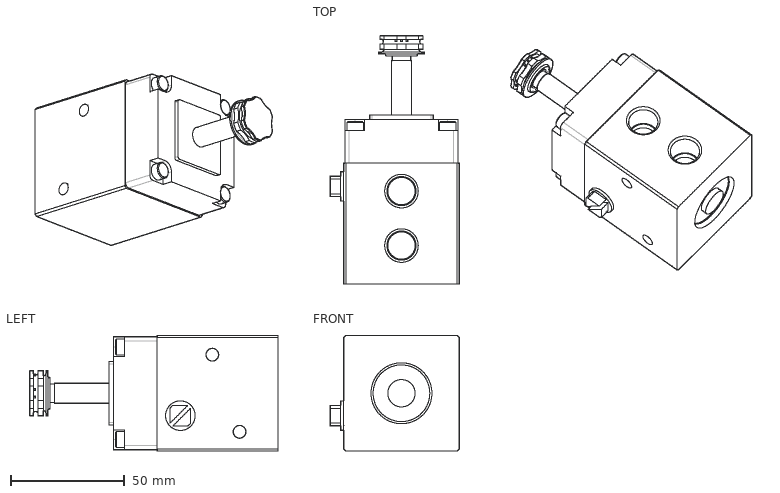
import cadquery as cq
import math


BLOCK_SIZE = 51.0
BLOCK_LENGTH = 53.2
BLOCK_CHAMFER = 1.0
PORT_PITCH = 24.0
PORT_Y = 17.0
PORT_DIAMETER = 12.8
PORT_MOUTH_DIAMETER = 14.8
PORT_DEPTH = 12.0
PORT_DRILL_DIAMETER = 12.0
PORT_DRILL_DEPTH = 15.0
DRILL_TIP_ANGLE = 118.0
MOUNT_HOLE_DIAMETER = 5.5
MOUNT_HOLE_Z = 17.0
MOUNT_HOLE_PITCH_Y = PORT_PITCH / 2
RECESS_DIAMETER = 25.0
RECESS_MOUTH_DIAMETER = 26.8
RECESS_DEPTH = 2.5
RECESS_CONE_DEPTH = 2.0
RECESS_BOSS_DIAMETER = 12.0

OVERRIDE_Y = 43.0
OVERRIDE_Z = -9.9
OVERRIDE_DISC_DIAMETER = 13.0
OVERRIDE_DISC_HEIGHT = 1.3
OVERRIDE_HEIGHT = 5.9
OVERRIDE_SQUARE = 9.0
OVERRIDE_CORNER_DIAMETER = 11.2
OVERRIDE_SLOT_WIDTH = 1.8

COVER_SIZE = 50.0
COVER_LENGTH = 19.3
COVER_FILLET = 2.0
PLATE_SIZE = 28.0
PLATE_THICKNESS = 2.0
PLATE_FILLET = 1.1
SCREW_OFFSET = 20.4
SCREW_HEAD_DIAMETER = 7.2
SCREW_HEAD_HEIGHT = 3.9
SCREW_HEAD_CHAMFER = 0.4
SEAT_DIAMETER = 8.3
SEAT_DEPTH = 4.9
TUBE_DIAMETER = 9.0
TUBE_END_Y = 98.5
NECK_DIAMETER = 8.3
NECK_END_Y = 101.0
STEM_DIAMETER = 9.7

NUT_END_Y = 109.5
NUT_DIAMETER = 20.2
FLANGE_THICKNESS = 1.8
FLANGE_CHAMFER = 0.3
GROOVE_WIDTH = 2.0
GROOVE_DIAMETER = 16.2
GROOVE_SAG = 0.4
GRIP_WIDTH = 2.4
SHOULDER_LENGTH = 1.2
SHOULDER_DIAMETER = 15.6
DISC_THICKNESS = 0.8
LIP_HEIGHT = 1.0
LIP_ROOT_DIAMETER = 14.5
LIP_END_DIAMETER = 13.8
NUT_RECESS_DIAMETER = 13.4
NUT_RECESS_DEPTH = 4.4
SCALLOP_COUNT = 6
SCALLOP_HALF_WIDTH = 3.3
SCALLOP_DEPTH = 0.5
MARK_DIAMETER = 1.0
MARK_LENGTH = 1.0
MARK_RADIUS = 7.9
TOP_MARK_COUNT = 3
TOP_MARK_PITCH = 2.3
SIDE_MARK_COUNT = 2
SIDE_MARK_PITCH = 3.3

COVER_END_Y = BLOCK_LENGTH + COVER_LENGTH
PLATE_END_Y = COVER_END_Y + PLATE_THICKNESS
FLANGE_Y = NUT_END_Y - FLANGE_THICKNESS
STEM_END_Y = FLANGE_Y


def cylinder(diameter, start_y, end_y, x=0, z=0):
    """Cylinder parallel to Y between two Y positions."""
    return cq.Workplane("XZ", origin=(x, start_y, z)).circle(diameter / 2).extrude(start_y - end_y)


def square_bar(size, start_y, end_y):
    """Square bar centred on the Y axis between two Y positions."""
    return cq.Workplane("XZ", origin=(0, start_y, 0)).rect(size, size).extrude(start_y - end_y)


def port_cutter(y):
    """Threaded port in the top face: chamfered mouth, bore, drill and conical tip."""
    mouth_radius = PORT_MOUTH_DIAMETER / 2
    bore_radius = PORT_DIAMETER / 2
    drill_radius = PORT_DRILL_DIAMETER / 2
    tip_depth = PORT_DRILL_DEPTH + drill_radius / math.tan(math.radians(DRILL_TIP_ANGLE / 2))
    return (
        cq.Workplane("XZ", origin=(0, y, BLOCK_SIZE / 2))
        .polyline([
            (0, 0),
            (mouth_radius, 0),
            (bore_radius, bore_radius - mouth_radius),
            (bore_radius, -PORT_DEPTH),
            (drill_radius, -PORT_DEPTH),
            (drill_radius, -PORT_DRILL_DEPTH),
            (0, -tip_depth),
        ])
        .close()
        .revolve(360, (0, 0, 0), (0, 1, 0))
    )


def front_recess_cutter():
    """Flared round recess in the front face around a boss flush with that face."""
    flare = (
        cq.Workplane("XY")
        .polyline([
            (0, 0),
            (RECESS_MOUTH_DIAMETER / 2, 0),
            (RECESS_DIAMETER / 2, RECESS_CONE_DEPTH),
            (RECESS_DIAMETER / 2, RECESS_DEPTH),
            (0, RECESS_DEPTH),
        ])
        .close()
        .revolve(360, (0, 0, 0), (0, 1, 0))
    )
    return flare.cut(cylinder(RECESS_BOSS_DIAMETER, 0, RECESS_DEPTH))


def manual_override():
    """Round disc carrying a square stub, split to the disc by a diagonal slot."""
    face = cq.Workplane("YZ", origin=(-BLOCK_SIZE / 2, OVERRIDE_Y, OVERRIDE_Z))
    disc = face.circle(OVERRIDE_DISC_DIAMETER / 2).extrude(-OVERRIDE_DISC_HEIGHT)
    rounding = face.circle(OVERRIDE_CORNER_DIAMETER / 2).extrude(-OVERRIDE_HEIGHT)
    stub = face.rect(OVERRIDE_SQUARE, OVERRIDE_SQUARE).extrude(-OVERRIDE_HEIGHT).intersect(rounding)
    slot = (
        face.workplane(offset=-OVERRIDE_DISC_HEIGHT)
        .transformed(rotate=(0, 0, -45))
        .rect(2 * OVERRIDE_SQUARE, OVERRIDE_SLOT_WIDTH)
        .extrude(-OVERRIDE_HEIGHT)
    )
    return disc.union(stub.cut(slot))


def make_valve_block():
    block = square_bar(BLOCK_SIZE, 0, BLOCK_LENGTH).edges("|Y").chamfer(BLOCK_CHAMFER)
    block = block.cut(front_recess_cutter())
    for index in range(2):
        block = block.cut(port_cutter(PORT_Y + index * PORT_PITCH))
    for index, z in enumerate((-MOUNT_HOLE_Z, MOUNT_HOLE_Z)):
        y = PORT_Y + index * MOUNT_HOLE_PITCH_Y
        hole = (
            cq.Workplane("YZ", origin=(0, y, z))
            .circle(MOUNT_HOLE_DIAMETER / 2)
            .extrude(BLOCK_SIZE / 2, both=True)
        )
        block = block.cut(hole)
    return block.union(manual_override())


def screw_seat_cutter(x_side, z_side):
    """Corner pocket with a round inner corner, open to both outer sides of the cover."""
    seat_radius = SEAT_DIAMETER / 2
    floor_y = COVER_END_Y - SEAT_DEPTH
    x = x_side * SCREW_OFFSET
    z = z_side * SCREW_OFFSET
    pocket = (
        cq.Workplane("XZ", origin=(x + x_side * seat_radius, floor_y, z + z_side * seat_radius))
        .rect(2 * SEAT_DIAMETER, 2 * SEAT_DIAMETER)
        .extrude(-SEAT_DEPTH)
    )
    inner_x = "<X" if x_side > 0 else ">X"
    inner_z = "<Z" if z_side > 0 else ">Z"
    return pocket.edges(f"|Y and {inner_x} and {inner_z}").fillet(seat_radius)


def screw_head(x_side, z_side):
    floor_y = COVER_END_Y - SEAT_DEPTH
    head = cylinder(
        SCREW_HEAD_DIAMETER,
        floor_y,
        floor_y + SCREW_HEAD_HEIGHT,
        x_side * SCREW_OFFSET,
        z_side * SCREW_OFFSET,
    )
    return head.faces(">Y").chamfer(SCREW_HEAD_CHAMFER)


def make_pilot_head():
    head = square_bar(COVER_SIZE, BLOCK_LENGTH, COVER_END_Y).edges("|Y").fillet(COVER_FILLET)
    for x_side in (-1, 1):
        for z_side in (-1, 1):
            head = head.cut(screw_seat_cutter(x_side, z_side))
            head = head.union(screw_head(x_side, z_side))
    plate = square_bar(PLATE_SIZE, COVER_END_Y, PLATE_END_Y).edges("|Y").fillet(PLATE_FILLET)
    tube = cylinder(TUBE_DIAMETER, PLATE_END_Y, TUBE_END_Y)
    neck = cylinder(NECK_DIAMETER, TUBE_END_Y, NECK_END_Y)
    stem = cylinder(STEM_DIAMETER, NECK_END_Y, STEM_END_Y)
    return head.union(plate).union(tube).union(neck).union(stem)


def scallop_cutters(start_y, end_y):
    """Concave finger grips spread evenly around the nut, the first one on the -X side."""
    chord_distance = math.sqrt((NUT_DIAMETER / 2) ** 2 - SCALLOP_HALF_WIDTH ** 2)
    cutter_radius = (SCALLOP_HALF_WIDTH ** 2 + SCALLOP_DEPTH ** 2) / (2 * SCALLOP_DEPTH)
    cutter_distance = chord_distance - SCALLOP_DEPTH + cutter_radius
    cutters = cq.Workplane("XZ")
    for index in range(SCALLOP_COUNT):
        angle = math.pi + index * 2 * math.pi / SCALLOP_COUNT
        x = cutter_distance * math.cos(angle)
        z = cutter_distance * math.sin(angle)
        cutters = cutters.union(cylinder(2 * cutter_radius, start_y, end_y, x, z))
    return cutters


def scalloped_ring(start_y, end_y):
    return cylinder(NUT_DIAMETER, start_y, end_y).cut(scallop_cutters(start_y, end_y))


def groove_core(start_y):
    """Core between flange and grip ring, with a hollow arc as its outline."""
    floor_radius = GROOVE_DIAMETER / 2
    rim_radius = floor_radius + GROOVE_SAG
    return (
        cq.Workplane("XY")
        .moveTo(0, start_y)
        .lineTo(rim_radius, start_y)
        .threePointArc((floor_radius, (start_y + FLANGE_Y) / 2), (rim_radius, FLANGE_Y))
        .lineTo(0, FLANGE_Y)
        .close()
        .revolve(360, (0, 0, 0), (0, 1, 0))
    )


def flared_shoulder(start_y):
    """Shoulder that flares in a quarter arc from the grip ring to the disc."""
    neck_radius = SHOULDER_DIAMETER / 2
    flare_radius = SHOULDER_LENGTH
    arc_middle = flare_radius * (1 - math.cos(math.pi / 4))
    return (
        cq.Workplane("XY")
        .moveTo(0, start_y)
        .lineTo(neck_radius + flare_radius, start_y)
        .threePointArc(
            (neck_radius + arc_middle, start_y + arc_middle),
            (neck_radius, start_y + flare_radius),
        )
        .lineTo(0, start_y + flare_radius)
        .close()
        .revolve(360, (0, 0, 0), (0, 1, 0))
    )


def position_marks(count, pitch, outward_angle):
    """Row of small pins under the flange, centred on one direction and partly sunk in the groove floor."""
    marks = cq.Workplane("XZ")
    for index in range(count):
        offset = (index - (count - 1) / 2) * pitch
        angle = outward_angle + math.asin(offset / MARK_RADIUS)
        x = MARK_RADIUS * math.cos(angle)
        z = MARK_RADIUS * math.sin(angle)
        marks = marks.union(cylinder(MARK_DIAMETER, FLANGE_Y - MARK_LENGTH, FLANGE_Y, x, z))
    return marks


def make_nut():
    grip_end_y = FLANGE_Y - GROOVE_WIDTH
    grip_y = grip_end_y - GRIP_WIDTH
    disc_end_y = grip_y - SHOULDER_LENGTH
    disc_y = disc_end_y - DISC_THICKNESS
    lip_y = disc_y - LIP_HEIGHT

    flange = scalloped_ring(FLANGE_Y, NUT_END_Y).faces(">Y").chamfer(FLANGE_CHAMFER)
    grip = scalloped_ring(grip_y, grip_end_y)
    core = groove_core(grip_end_y)
    disc = cylinder(NUT_DIAMETER, disc_y, disc_end_y)
    shoulder = flared_shoulder(disc_end_y)
    lip = (
        cq.Workplane("XZ", origin=(0, disc_y, 0))
        .circle(LIP_ROOT_DIAMETER / 2)
        .workplane(offset=LIP_HEIGHT)
        .circle(LIP_END_DIAMETER / 2)
        .loft()
    )

    nut = flange.union(core).union(grip).union(shoulder).union(disc).union(lip)
    nut = nut.union(position_marks(TOP_MARK_COUNT, TOP_MARK_PITCH, math.pi / 2))
    nut = nut.union(position_marks(SIDE_MARK_COUNT, SIDE_MARK_PITCH, math.pi))
    nut = nut.cut(cylinder(NUT_RECESS_DIAMETER, lip_y, lip_y + NUT_RECESS_DEPTH))
    return nut.cut(cylinder(STEM_DIAMETER, lip_y, STEM_END_Y))


valve_block = make_valve_block()
pilot_head = make_pilot_head()
nut = make_nut()

result = cq.Compound.makeCompound([valve_block.val(), pilot_head.val(), nut.val()])